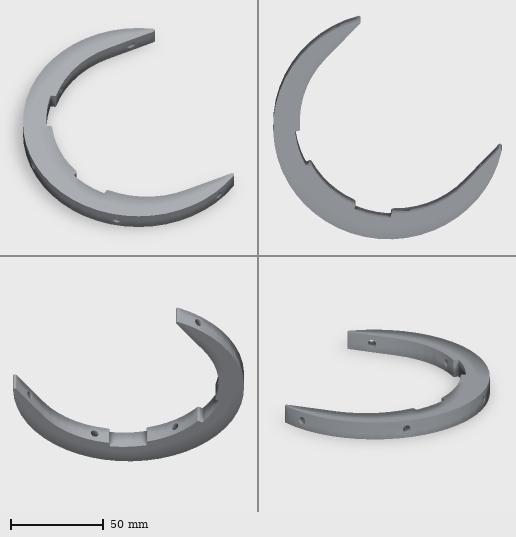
import cadquery as cq
import math

outer_radius = 62.5
thickness = 10.0
inner_radius = 51.5
inner_center_y = 5.0
tip_radius = 0.96

recess_radius = 54.3
recess_angle = 30.0
recess_span = 22.0
recess_corner_radius = 1.0

hole_diameter = 4.2
hole_pitch_angle = 55.0
holes_per_side = 2


def polar_point(radius, angle):
    """Point on a circle about the bore centre, angle measured from -Y."""
    a = math.radians(angle)
    return radius * math.sin(a), inner_center_y - radius * math.cos(a)


def crescent():
    """Disc with an offset bore that opens straight out towards +Y."""
    disc = cq.Workplane("XY").circle(outer_radius).extrude(thickness)
    bore = cq.Workplane("XY").center(0, inner_center_y).circle(inner_radius).extrude(thickness)
    mouth = (
        cq.Workplane("XY")
        .box(2 * inner_radius, outer_radius, thickness, centered=(True, False, False))
        .translate((0, inner_center_y, 0))
    )
    body = disc.cut(bore).cut(mouth)
    return body.edges("|Z").edges(">Y").fillet(tip_radius)


def recess(middle_angle):
    """Annular sector that deepens the bore wall around middle_angle."""
    start = middle_angle - recess_span / 2
    end = middle_angle + recess_span / 2
    clearance_radius = inner_radius - 2 * recess_corner_radius
    return (
        cq.Workplane("XY")
        .moveTo(*polar_point(clearance_radius, start))
        .lineTo(*polar_point(recess_radius, start))
        .threePointArc(polar_point(recess_radius, middle_angle), polar_point(recess_radius, end))
        .lineTo(*polar_point(clearance_radius, end))
        .close()
        .extrude(thickness)
    )


def recess_corners():
    """Selector for the upright edges at both ends of both recesses."""
    corners = []
    for side in (-1, 1):
        for end in (-1, 1):
            angle = side * recess_angle + end * recess_span / 2
            for radius in (inner_radius, recess_radius):
                x, y = polar_point(radius, angle)
                corners.append(cq.selectors.NearestToPointSelector((x, y, thickness / 2)))
    selector = corners[0]
    for corner in corners[1:]:
        selector = selector + corner
    return selector


def radial_hole(angle):
    """Cylinder from the part axis outwards, angle measured from -Y."""
    a = math.radians(angle)
    direction = cq.Vector(math.sin(a), -math.cos(a), 0)
    return cq.Solid.makeCylinder(
        hole_diameter / 2, outer_radius + hole_diameter, cq.Vector(0, 0, thickness / 2), direction
    )


result = crescent()
for side in (-1, 1):
    result = result.cut(recess(side * recess_angle))
result = result.edges(recess_corners()).fillet(recess_corner_radius)

for step in range(-holes_per_side, holes_per_side + 1):
    result = result.cut(cq.Workplane(radial_hole(step * hole_pitch_angle)))